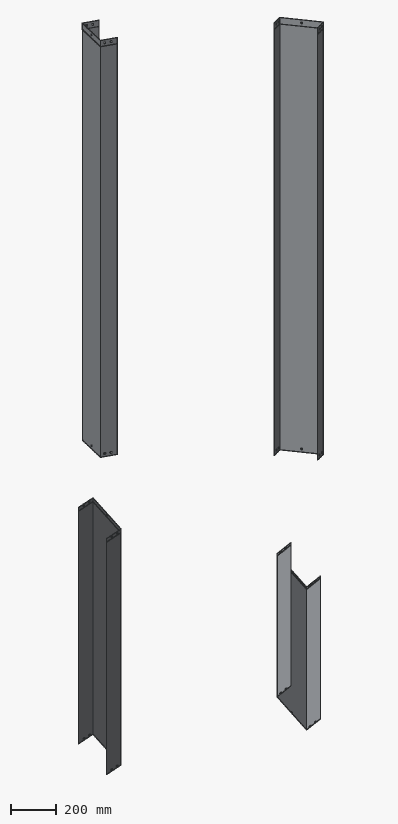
import cadquery as cq

sheet = 0.8
width = 201.6
depth = 80.8
length = 1999.0

body_width = width - 2 * sheet
body_web_face = sheet

socket_depth = 30.0
body_top = length - socket_depth
socket_bottom = body_top - sheet

end_to_fastener = 15.0
top_fastener_z = length - end_to_fastener
bottom_fastener_z = end_to_fastener
rear_fastener_to_edge = 30.0
fastener_spacing = 30.0
rear_fastener_y = depth - rear_fastener_to_edge
flange_fastener_ys = (rear_fastener_y, rear_fastener_y - fastener_spacing)
web_hole_diameter = 7.0
square_hole_side = 7.0
slot_length = 10.0
slot_width = 7.0


def channel(outer_width, web_face, bottom, top):
    """U channel of one sheet thickness whose web's outer face lies at y = web_face."""
    half_width = outer_width / 2
    inner_half_width = half_width - sheet
    web_inner_face = web_face + sheet
    profile = [
        (-half_width, web_face),
        (half_width, web_face),
        (half_width, depth),
        (inner_half_width, depth),
        (inner_half_width, web_inner_face),
        (-inner_half_width, web_inner_face),
        (-inner_half_width, depth),
        (-half_width, depth),
    ]
    return cq.Workplane("XY").workplane(offset=bottom).polyline(profile).close().extrude(top - bottom)


def web_hole(z):
    """Cutter for the round hole in the middle of the web."""
    plane = cq.Workplane("XZ", origin=(0, 0, z))
    return plane.circle(web_hole_diameter / 2).extrude(depth / 2, both=True)


def square_holes(y):
    """Cutter for the square hole through both flanges of the socket."""
    plane = cq.Workplane("YZ", origin=(0, y, top_fastener_z))
    return plane.rect(square_hole_side, square_hole_side).extrude(width, both=True)


def slots(y):
    """Cutter for the slot, long along Y, through both flanges at the foot of the body."""
    plane = cq.Workplane("YZ", origin=(0, y, bottom_fastener_z))
    return plane.slot2D(slot_length, slot_width).extrude(width, both=True)


body = channel(body_width, body_web_face, 0, body_top)
socket = channel(width, 0, socket_bottom, length)
result = body.union(socket)

for fastener_z in (bottom_fastener_z, top_fastener_z):
    result = result.cut(web_hole(fastener_z))

for fastener_y in flange_fastener_ys:
    result = result.cut(square_holes(fastener_y))
    result = result.cut(slots(fastener_y))